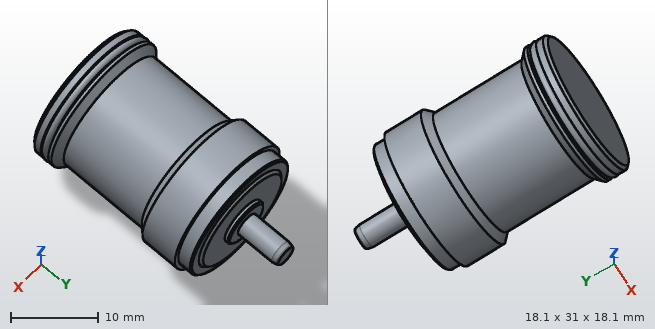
import cadquery as cq
import math


rim_radius = 9.0
barrel_radius = 8.0
spigot_radius = 8.4
base_chamfer = 0.4
groove_start = 1.33
groove_end = 2.5
groove_floor_radius = 8.25
flange_end = 3.0
barrel_start = 4.0
barrel_end = 16.03
head_start = 17.02
head_end = 22.0
spigot_end = 23.95
spigot_chamfer = 0.2

ring_outer_radius = 9.05
ring_section_radius = 0.5

cover_base_radius = 7.07
cover_top_radius = 6.73
cover_end = 24.35

collar_radius = 3.05
collar_end = 25.0
collar_chamfer = 0.2

shaft_radius = 1.52
shaft_end = 31.0
tip_radius = 1.4
tip_taper_start = 30.2
tip_chamfer_height = 0.22
tip_chamfer_width = 0.1


def revolve_about_y(profile):
    """Turn a closed half section, drawn as (radius, Y), about the Y axis."""
    return profile.revolve(360, (0, 0, 0), (0, 1, 0))


def turned(points):
    return revolve_about_y(cq.Workplane("XY").polyline(points).close())


def make_housing():
    return turned([
        (0, 0),
        (rim_radius - base_chamfer, 0),
        (rim_radius, base_chamfer),
        (rim_radius, groove_start),
        (groove_floor_radius, groove_start),
        (groove_floor_radius, groove_end),
        (rim_radius, groove_end),
        (rim_radius, flange_end),
        (barrel_radius, barrel_start),
        (barrel_radius, barrel_end),
        (rim_radius, head_start),
        (rim_radius, head_end),
        (spigot_radius, head_end),
        (spigot_radius, spigot_end - spigot_chamfer),
        (spigot_radius - spigot_chamfer, spigot_end),
        (0, spigot_end),
    ])


def make_sealing_ring():
    center_radius = ring_outer_radius - ring_section_radius
    center_y = groove_start + ring_section_radius
    floor_depth = center_radius - groove_floor_radius
    half_flat = math.sqrt(ring_section_radius**2 - floor_depth**2)
    profile = (
        cq.Workplane("XY")
        .moveTo(groove_floor_radius, center_y - half_flat)
        .threePointArc((ring_outer_radius, center_y), (groove_floor_radius, center_y + half_flat))
        .close()
    )
    return revolve_about_y(profile)


def make_cover():
    return turned([
        (shaft_radius, spigot_end),
        (cover_base_radius, spigot_end),
        (cover_top_radius, cover_end),
        (shaft_radius, cover_end),
    ])


def make_collar():
    return turned([
        (shaft_radius, cover_end),
        (collar_radius, cover_end),
        (collar_radius, collar_end - collar_chamfer),
        (collar_radius - collar_chamfer, collar_end),
        (shaft_radius, collar_end),
    ])


def make_shaft():
    """Shaft through the collar and cover, resting on the housing end face."""
    return turned([
        (0, spigot_end),
        (shaft_radius, spigot_end),
        (shaft_radius, tip_taper_start),
        (tip_radius, shaft_end - tip_chamfer_height),
        (tip_radius - tip_chamfer_width, shaft_end),
        (0, shaft_end),
    ])


housing = make_housing()
sealing_ring = make_sealing_ring()
cover = make_cover()
collar = make_collar()
shaft = make_shaft()

result = cq.Compound.makeCompound([
    housing.val(),
    sealing_ring.val(),
    cover.val(),
    collar.val(),
    shaft.val(),
])